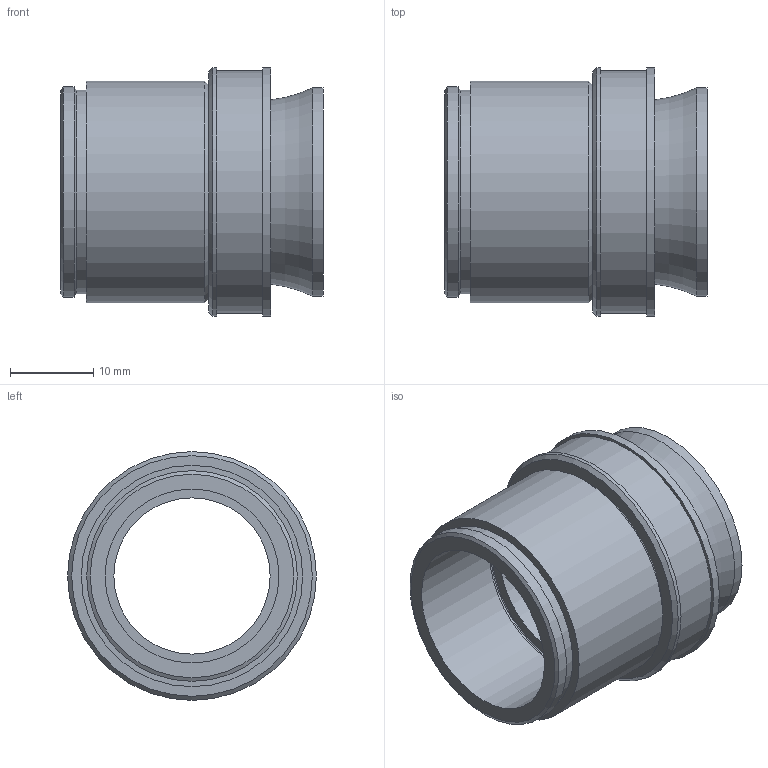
import cadquery as cq

LENGTH = 31.56
LIP_END = 1.82
BARREL_START = 3.04
COLLAR_START = 17.78
COLLAR_END = 25.28
FLARE_RIM_WIDTH = 1.24

LIP_DIA = 25.37
LIP_FACE_DIA = 24.51
GROOVE_DIA = 24.51
BARREL_DIA = 26.67
COLLAR_DIA = 29.97
COLLAR_BAND_DIA = 29.21
FLARE_ROOT_DIA = 22.23
FLARE_MID_DIA = 23.2
FLARE_RIM_DIA = 25.12

BORE_DIA = 20.95
THROAT_DIA = 18.83
BORE_DEPTH = 12.2
RELIEF_DIA = 21.57
RELIEF_CORNER_RADIUS = 0.1
RELIEF_WIDTH = 0.6

LIP_CHAMFER_LENGTH = 0.25
SHOULDER_CHAMFER = 0.49
COLLAR_RIM_WIDTH = 0.97


def outer_body():
    """Solid of revolution bounded by the outside profile."""
    band_start = COLLAR_START + COLLAR_RIM_WIDTH
    band_end = COLLAR_END - COLLAR_RIM_WIDTH
    flare_end = LENGTH - FLARE_RIM_WIDTH
    flare_middle = (COLLAR_END + flare_end) / 2

    profile = (
        cq.Workplane("XY")
        .moveTo(0, 0)
        .lineTo(0, LIP_FACE_DIA / 2)
        .lineTo(LIP_CHAMFER_LENGTH, LIP_DIA / 2)
        .lineTo(LIP_END - LIP_CHAMFER_LENGTH, LIP_DIA / 2)
        .lineTo(LIP_END, GROOVE_DIA / 2)
        .lineTo(BARREL_START, GROOVE_DIA / 2)
        .lineTo(BARREL_START, BARREL_DIA / 2)
        .lineTo(COLLAR_START - SHOULDER_CHAMFER, BARREL_DIA / 2)
        .lineTo(COLLAR_START, BARREL_DIA / 2 - SHOULDER_CHAMFER)
        .lineTo(COLLAR_START, COLLAR_DIA / 2 - SHOULDER_CHAMFER)
        .lineTo(COLLAR_START + SHOULDER_CHAMFER, COLLAR_DIA / 2)
        .lineTo(band_start, COLLAR_DIA / 2)
        .lineTo(band_start, COLLAR_BAND_DIA / 2)
        .lineTo(band_end, COLLAR_BAND_DIA / 2)
        .lineTo(band_end, COLLAR_DIA / 2)
        .lineTo(COLLAR_END, COLLAR_DIA / 2)
        .lineTo(COLLAR_END, FLARE_ROOT_DIA / 2)
        .threePointArc((flare_middle, FLARE_MID_DIA / 2), (flare_end, FLARE_RIM_DIA / 2))
        .lineTo(LENGTH, FLARE_RIM_DIA / 2)
        .lineTo(LENGTH, 0)
        .close()
    )
    return profile.revolve(360, (0, 0, 0), (1, 0, 0))


def bore_cutter(start, end, diameter):
    """Cylinder along X between two axial stations."""
    return cq.Workplane("YZ", origin=(start, 0, 0)).circle(diameter / 2).extrude(end - start)


def relief_cutter():
    """Shallow undercut ending at the bore shoulder, with its deep corner rounded."""
    relief = bore_cutter(BORE_DEPTH - RELIEF_WIDTH, BORE_DEPTH, RELIEF_DIA)
    return relief.faces(">X").edges().fillet(RELIEF_CORNER_RADIUS)


sleeve = (
    outer_body()
    .cut(bore_cutter(0, BORE_DEPTH, BORE_DIA))
    .cut(relief_cutter())
    .cut(bore_cutter(BORE_DEPTH, LENGTH, THROAT_DIA))
)
result = sleeve.translate((-LENGTH / 2, 0, 0))